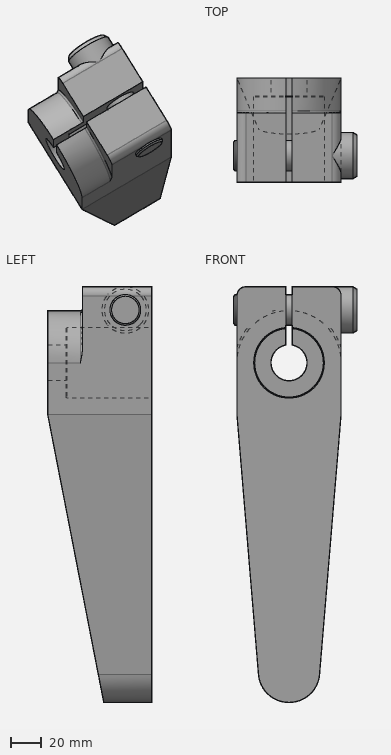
import cadquery as cq
import math

length = 269.2
width = 67.5
depth = width
half_width = width / 2
corner_radius = 6.0
taper_start_z = length - 82.6
tip_radius = 20.0
tip_depth = 31.2

bore_z = length - 49.3
clamp_depth = 45.0
hub_root_fillet = 1.3
bore_radius = 23.0
shaft_hole_radius = 11.5
bore_floor_thickness = 11.8
floor_chamfer = 0.67
slot_width = 4.0

head_radius = 15.0
screw_y = 17.2
screw_z = length - head_radius
screw_radius = 10.0
screw_tip_length = 2.2
screw_tip_chamfer = 1.0
head_height = 10.2
head_chamfer_length = 2.7
head_chamfer_depth = 1.5
head_seat_x = 24.0


def cylinder_y(radius, y_start, y_end):
    """Cylinder on the bore axis."""
    plane = cq.Workplane("XZ", origin=(0, y_start, bore_z))
    return plane.circle(radius).extrude(y_start - y_end)


def make_arm():
    """Arm tapering in width to a tangent round tip, and in depth on its back."""
    rise = taper_start_z - tip_radius
    tangent_angle = math.acos(tip_radius / math.hypot(half_width, rise)) - math.atan2(rise, half_width)
    tangent_x = tip_radius * math.cos(tangent_angle)
    tangent_z = tip_radius - tip_radius * math.sin(tangent_angle)
    outline = (
        cq.Workplane("XZ")
        .moveTo(-half_width, length)
        .lineTo(half_width, length)
        .lineTo(half_width, taper_start_z)
        .lineTo(tangent_x, tangent_z)
        .threePointArc((0, 0), (-tangent_x, tangent_z))
        .lineTo(-half_width, taper_start_z)
        .close()
        .extrude(-depth)
        .edges("|Y and >Z")
        .fillet(corner_radius)
    )
    side_profile = (
        cq.Workplane("YZ")
        .polyline([
            (0, 0),
            (tip_depth, 0),
            (depth, taper_start_z),
            (depth, bore_z),
            (clamp_depth, bore_z),
            (clamp_depth, length),
            (0, length),
        ])
        .close()
        .extrude(half_width, both=True)
    )
    return outline.intersect(side_profile)


def make_hub():
    """Round hub behind the clamp, with a concave root fillet trimmed at the arm's sides."""
    root_radius = half_width + hub_root_fillet
    root_end_y = clamp_depth + hub_root_fillet
    fillet_mid = hub_root_fillet * (1 - math.sqrt(0.5))
    hub = (
        cq.Workplane("XY", origin=(0, 0, bore_z))
        .moveTo(0, clamp_depth)
        .lineTo(root_radius, clamp_depth)
        .threePointArc(
            (half_width + fillet_mid, clamp_depth + fillet_mid),
            (half_width, root_end_y),
        )
        .lineTo(half_width, depth)
        .lineTo(0, depth)
        .close()
        .revolve(360, (0, 0, 0), (0, 1, 0))
    )
    upper_half = cq.Workplane("XY", origin=(0, depth / 2, bore_z)).rect(width, depth).extrude(length - bore_z)
    return hub.intersect(upper_half)


def cut_bore_and_slot(body):
    """Cut the blind bore, the smaller through hole and the clamping slot."""
    bore = cylinder_y(bore_radius, 0, depth - bore_floor_thickness).faces(">Y").chamfer(floor_chamfer)
    hole = cylinder_y(shaft_hole_radius, 0, depth)
    slot = (
        cq.Workplane("XY", origin=(0, depth / 2, bore_z))
        .rect(slot_width, depth)
        .extrude(length - bore_z)
    )
    return body.cut(bore).cut(hole).cut(slot)


def make_screw():
    """Screw with a chamfered tip and a chamfered cylindrical head."""
    tip_x = -half_width - screw_tip_length
    head_x = half_width + head_height
    return (
        cq.Workplane("XY", origin=(0, screw_y, screw_z))
        .polyline([
            (tip_x, 0),
            (tip_x, screw_radius - screw_tip_chamfer),
            (tip_x + screw_tip_chamfer, screw_radius),
            (head_seat_x, screw_radius),
            (head_seat_x, head_radius),
            (head_x - head_chamfer_length, head_radius),
            (head_x, head_radius - head_chamfer_depth),
            (head_x, 0),
        ])
        .close()
        .revolve(360, (0, 0, 0), (1, 0, 0))
    )


body = make_arm().union(make_hub())
result = cut_bore_and_slot(body).union(make_screw())